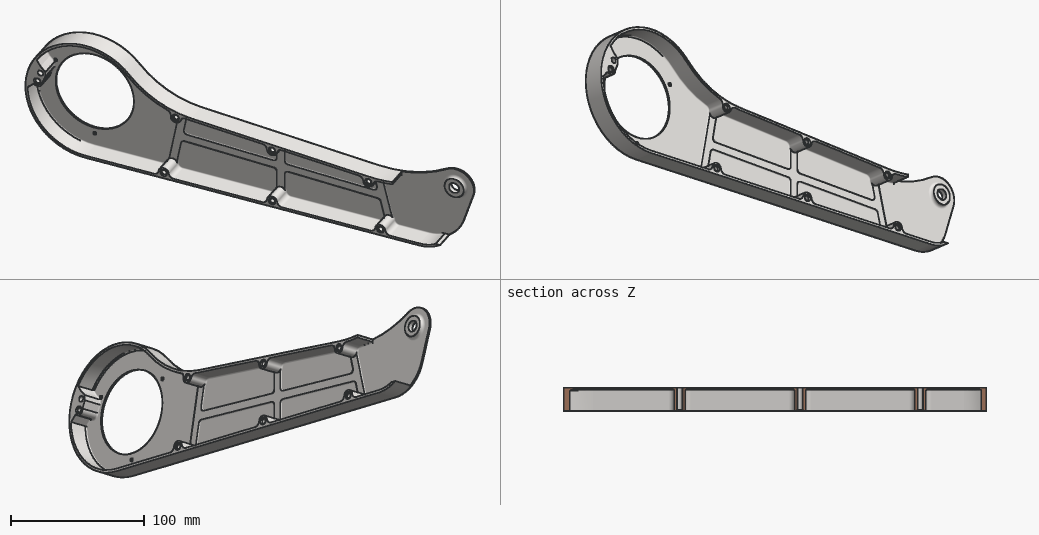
import cadquery as cq
import math

depth = 17.5
floor_thickness = 1.5
rib_height = 1.0
wall_thickness = 2.0
floor_fillet = 1.0
corner_radius = 3.0
boss_blend_radius = 4.0

ring_radius = 50.0
ring_bore_radius = 32.5
neck_radius = 78.0
neck_angle = math.radians(43.3)
top_slope = math.radians(4)
pivot_x = 300.0
pivot_end_radius = 15.0
saddle_radius = 100.0
nose_lean = math.radians(18)
heel_radius = 30.0
bottom_z = -ring_radius

top_wall_end_x = 255.0
bottom_wall_end_z = -44.7

boss_radius = 4.25
boss_inset = 5.0
boss_hole_radius = 1.9
boss_hole_chamfer = 0.9
boss_pitch = 80.0
middle_boss_x = 155.0
bottom_boss_spread = 90.0
ring_boss = (-40.0, 7.0)

rib_width = 6.5

ring_hole_circle_radius = 37.5
ring_hole_radius = 1.25
ring_hole_angles = (30, 150, 270)

block_hole = (-37.3, 15.0)
block_hole_radius = 2.2
block_round = 4.0
block_lower_angle = math.radians(182)
block_upper_angle = math.radians(147)
block_foot_angle = math.radians(-135)

pivot_boss_radius = 8.0
pivot_boss_depth = 4.5
pivot_boss_fillet = 2.5
pivot_hole_radius = 4.2

rib_depth = floor_thickness + rib_height
margin = 5.0
cavity_length = depth + margin


def polar(center, radius, angle):
    return (center[0] + radius * math.cos(angle), center[1] + radius * math.sin(angle))


top_normal = math.pi / 2 - top_slope
neck_center = polar((0, 0), ring_radius + neck_radius, neck_angle)
neck_end = polar(neck_center, -neck_radius, top_normal)


def top_edge_z(x):
    """Height of the straight top edge at x."""
    return neck_end[1] - (x - neck_end[0]) * math.tan(top_slope)


def saddle_center_point():
    """Centre that touches both the top edge and the pivot end circle."""
    base = polar((0, top_edge_z(0)), saddle_radius, top_normal)
    along = (math.cos(top_slope), -math.sin(top_slope))
    to_base = (base[0] - pivot_x, base[1])
    reach = saddle_radius + pivot_end_radius
    half_b = to_base[0] * along[0] + to_base[1] * along[1]
    c = to_base[0] ** 2 + to_base[1] ** 2 - reach ** 2
    distance = -half_b - math.sqrt(half_b ** 2 - c)
    return (base[0] + distance * along[0], base[1] + distance * along[1])


saddle_center = saddle_center_point()
bottom_boss_z = bottom_z + boss_inset
neck_boss_x = middle_boss_x - boss_pitch
saddle_boss_x = middle_boss_x + boss_pitch
neck_boss_edge_z = neck_center[1] - math.sqrt(neck_radius ** 2 - (neck_boss_x - neck_center[0]) ** 2)
neck_boss = (neck_boss_x, neck_boss_edge_z - boss_inset)
middle_top_boss = (middle_boss_x, top_edge_z(middle_boss_x) - boss_inset)
saddle_boss = (saddle_boss_x, top_edge_z(saddle_boss_x) - boss_inset)
left_foot_boss = (middle_boss_x - bottom_boss_spread, bottom_boss_z)
middle_foot_boss = (middle_boss_x, bottom_boss_z)
right_foot_boss = (middle_boss_x + bottom_boss_spread, bottom_boss_z)
wall_bosses = [neck_boss, middle_top_boss, saddle_boss,
               left_foot_boss, middle_foot_boss, right_foot_boss]
bosses = wall_bosses + [ring_boss]


def at_depth(distance):
    """Sketch plane parallel to the back face, the given distance in front of it."""
    return cq.Workplane("XZ", origin=(0, -distance, 0))


def cylinders(points, radius, start, end):
    return at_depth(start).pushPoints(points).circle(radius).extrude(end - start)


def outline():
    """Outer profile of the arm, ring to pivot and back along the bottom."""
    pivot = (pivot_x, 0)
    saddle_start = polar(saddle_center, -saddle_radius, top_normal)
    pivot_angle = math.atan2(saddle_center[1], saddle_center[0] - pivot_x)
    pivot_start = polar(pivot, pivot_end_radius, pivot_angle)
    saddle_mid = polar(saddle_center, -saddle_radius, (top_normal + pivot_angle) / 2)
    nose_start = polar(pivot, pivot_end_radius, -nose_lean)
    corner_x = nose_start[0] - (nose_start[1] - bottom_z) * math.tan(nose_lean)
    tangent_length = heel_radius * math.tan(math.pi / 4 - nose_lean / 2)
    heel_center = (corner_x - tangent_length, bottom_z + heel_radius)
    return (
        at_depth(0)
        .moveTo(0, bottom_z)
        .threePointArc((-ring_radius, 0), polar((0, 0), ring_radius, neck_angle))
        .threePointArc(polar(neck_center, -neck_radius, (neck_angle + top_normal) / 2), neck_end)
        .lineTo(*saddle_start)
        .threePointArc(saddle_mid, pivot_start)
        .threePointArc(polar(pivot, pivot_end_radius, (pivot_angle - nose_lean) / 2), nose_start)
        .lineTo(*polar(heel_center, heel_radius, -nose_lean))
        .threePointArc(polar(heel_center, heel_radius, -(math.pi / 2 + nose_lean) / 2),
                       (heel_center[0], bottom_z))
        .close()
    )


def ring_block():
    """Ring boss and blind hole block, joined to the rim wall."""
    hole_x, hole_z = block_hole
    right_x = hole_x + block_round
    half_flat = block_round / 2
    wall_middle = ring_radius - wall_thickness / 2
    upper_end = polar((0, 0), wall_middle, block_upper_angle)
    lower_end = polar((0, 0), wall_middle, block_lower_angle)
    middle = polar((0, 0), wall_middle, (block_upper_angle + block_lower_angle) / 2)
    block = (
        at_depth(0)
        .moveTo(*upper_end)
        .lineTo(hole_x, hole_z + block_round + half_flat)
        .lineTo(right_x, hole_z + half_flat)
        .lineTo(right_x, hole_z - half_flat)
        .lineTo(*polar(ring_boss, boss_radius, 0))
        .lineTo(*polar(ring_boss, boss_radius, block_foot_angle))
        .lineTo(*lower_end)
        .threePointArc(middle, upper_end)
        .close()
        .extrude(cavity_length)
    )
    return block.union(cylinders([ring_boss], boss_radius, 0, cavity_length))


def bar(start, end):
    """Rib running between two points, as deep as the cavity."""
    length = math.dist(start, end)
    angle = math.degrees(math.atan2(end[1] - start[1], end[0] - start[0]))
    middle = ((start[0] + end[0]) / 2, (start[1] + end[1]) / 2)
    return (
        at_depth(0)
        .center(*middle)
        .transformed(rotate=(0, 0, angle))
        .rect(length, rib_width)
        .extrude(cavity_length)
    )


def mid_height(x):
    """Point halfway between the top and bottom edges at x."""
    return (x, (top_edge_z(x) + bottom_z) / 2)


def rib_bars():
    bars = bar(neck_boss, left_foot_boss)
    bars = bars.union(bar(middle_top_boss, middle_foot_boss))
    bars = bars.union(bar(saddle_boss, right_foot_boss))
    left_x = (neck_boss[0] + left_foot_boss[0]) / 2
    right_x = (saddle_boss[0] + right_foot_boss[0]) / 2
    return bars.union(bar(mid_height(left_x), mid_height(right_x)))


def rounded_patches(cavity, radius):
    """Separate patches of the cavity, with their upright corners rounded."""
    patches = []
    for face in cavity.faces(">Y").vals():
        section = cq.Workplane("XZ").add(face.outerWire()).toPending()
        core = section.offset2D(-radius)
        patches.append(core.offset2D(radius).extrude(cavity_length))
    return patches


def make_body():
    """Floor, rim wall, bosses, block and ribs, left by cutting pockets into a full-depth slab."""
    inside = outline().offset2D(-wall_thickness).extrude(cavity_length)
    inside = inside.cut(cylinders(wall_bosses, boss_radius, 0, cavity_length))
    cavity = rounded_patches(inside, boss_blend_radius)[0]
    block = ring_block()
    body = outline().extrude(depth)
    body = body.cut(cavity.cut(block).translate((0, -rib_depth, 0)))
    for patch in rounded_patches(cavity.cut(rib_bars()), corner_radius):
        pocket = patch.cut(block).faces(">Y").edges().fillet(floor_fillet)
        body = body.cut(pocket.translate((0, -floor_thickness, 0)))
    return body


def cut_wall_ends(body):
    """Leave the pivot end as a plain plate, without a rim wall."""
    length = pivot_x + pivot_end_radius + margin - top_wall_end_x
    height = ring_radius - bottom_wall_end_z
    opening = (
        at_depth(floor_thickness)
        .moveTo(top_wall_end_x, bottom_wall_end_z)
        .rect(length, height, centered=False)
        .extrude(depth)
    )
    return body.cut(opening)


def add_pivot_boss(body):
    pivot = [(pivot_x, 0)]
    body = body.union(cylinders(pivot, pivot_boss_radius, 0, pivot_boss_depth))
    slack = 0.1
    reach = pivot_boss_radius + slack
    base_edge = cq.selectors.BoxSelector(
        (pivot_x - reach, -floor_thickness - slack, -reach),
        (pivot_x + reach, -floor_thickness + slack, reach),
    )
    body = body.edges(base_edge).fillet(pivot_boss_fillet)
    return body.cut(cylinders(pivot, pivot_hole_radius, 0, pivot_boss_depth))


def cut_holes(body):
    body = body.cut(cylinders([(0, 0)], ring_bore_radius, 0, depth))
    screws = [polar((0, 0), ring_hole_circle_radius, math.radians(a)) for a in ring_hole_angles]
    body = body.cut(cylinders(screws, ring_hole_radius, 0, depth))
    body = body.cut(cylinders([block_hole], block_hole_radius, floor_thickness, depth))
    body = body.cut(cylinders(bosses, boss_hole_radius, 0, depth))
    mouth = (
        at_depth(depth)
        .circle(boss_hole_radius + boss_hole_chamfer)
        .workplane(offset=-boss_hole_chamfer)
        .circle(boss_hole_radius)
        .loft()
    )
    for x, z in bosses:
        body = body.cut(mouth.translate((x, 0, z)))
    return body


result = cut_holes(add_pivot_boss(cut_wall_ends(make_body())))